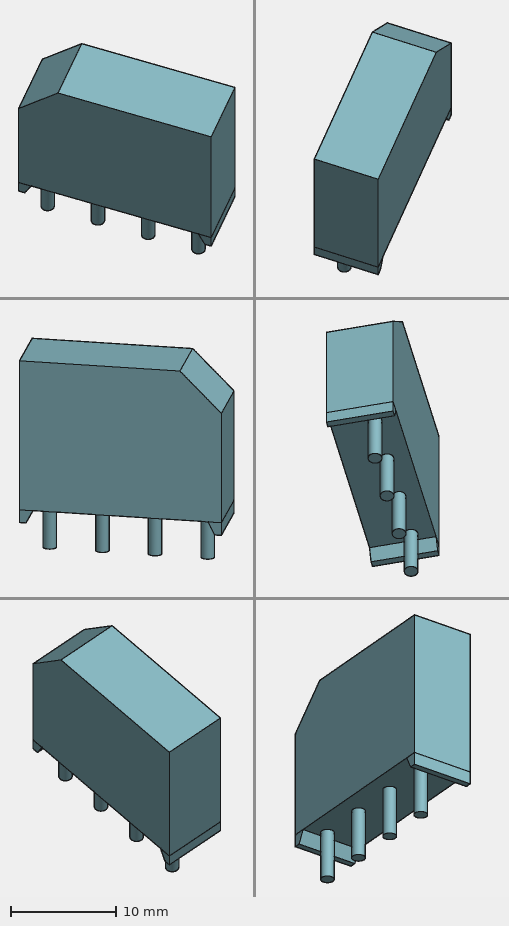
import cadquery as cq

WIDTH = 19.5
DEPTH = 6.5
HEIGHT = 20.1

PIN_LENGTH = 5.09
HOUSING_HEIGHT = HEIGHT - PIN_LENGTH
CORNER_CUT = 4.0

FOOT_HEIGHT = 1.29
FOOT_TOP_WIDTH = 1.29
FOOT_BOTTOM_WIDTH = FOOT_TOP_WIDTH / 2

PIN_COUNT = 4
PIN_PITCH = 5.09
PIN_DIAMETER = 1.3
PIN_ROW_Y = -1.0


def make_housing():
    """Rectangular block with its upper -X corner cut at 45 degrees."""
    block = cq.Workplane("XY").box(WIDTH, DEPTH, HOUSING_HEIGHT, centered=(True, True, False))
    return block.edges("<X and >Z").chamfer(CORNER_CUT)


def make_foot(side):
    """Full-depth foot, flush with the housing end; side is -1 for -X or +1 for +X."""
    outer_x = side * WIDTH / 2
    profile = [
        (outer_x, 0),
        (outer_x - side * FOOT_TOP_WIDTH, 0),
        (outer_x - side * FOOT_BOTTOM_WIDTH, -FOOT_HEIGHT),
        (outer_x, -FOOT_HEIGHT),
    ]
    return cq.Workplane("XZ").polyline(profile).close().extrude(DEPTH / 2, both=True)


def make_pin(x):
    """Round pin hanging from the underside of the housing."""
    return cq.Workplane("XY").center(x, PIN_ROW_Y).circle(PIN_DIAMETER / 2).extrude(-PIN_LENGTH)


housing = make_housing()
feet = [make_foot(side) for side in (-1, 1)]
pins = [make_pin((i - (PIN_COUNT - 1) / 2) * PIN_PITCH) for i in range(PIN_COUNT)]

result = cq.Compound.makeCompound([housing.val(), *[body.val() for body in feet + pins]])